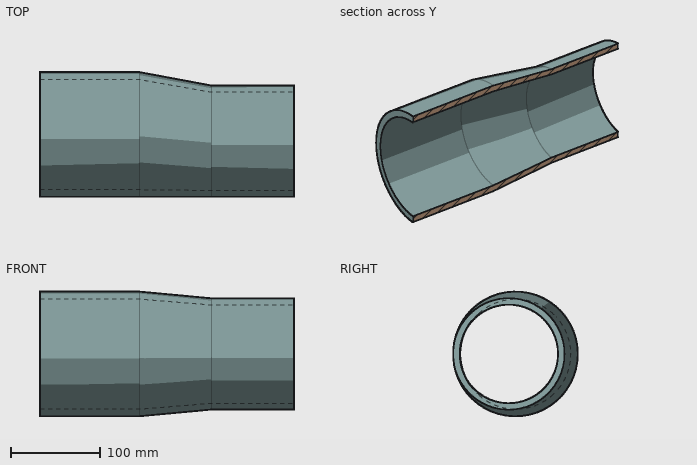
import cadquery as cq

large_outer_diameter = 140.0
large_inner_diameter = 123.4
small_outer_diameter = 125.0
small_inner_diameter = 110.2

total_length = 285.0
large_length = 111.5
taper_length = 80.5
small_start = large_length + taper_length
small_length = total_length - small_start

small_axis_y = -(large_outer_diameter - small_outer_diameter) / 2


def straight_length(diameter, start_x, length, axis_y):
    """Cylinder along +X from start_x."""
    return cq.Workplane("YZ", origin=(start_x, axis_y, 0)).circle(diameter / 2).extrude(length)


def reducer_body(large_diameter, small_diameter):
    """Solid envelope: large cylinder, eccentric taper, small cylinder."""
    large_end = straight_length(large_diameter, 0, large_length, 0)
    taper = (
        cq.Workplane("YZ", origin=(large_length, 0, 0))
        .circle(large_diameter / 2)
        .workplane(offset=taper_length)
        .center(small_axis_y, 0)
        .circle(small_diameter / 2)
        .loft(ruled=True)
    )
    small_end = straight_length(small_diameter, small_start, small_length, small_axis_y)
    return large_end.union(taper).union(small_end)


outer_body = reducer_body(large_outer_diameter, small_outer_diameter)
bore = reducer_body(large_inner_diameter, small_inner_diameter)
result = outer_body.cut(bore)